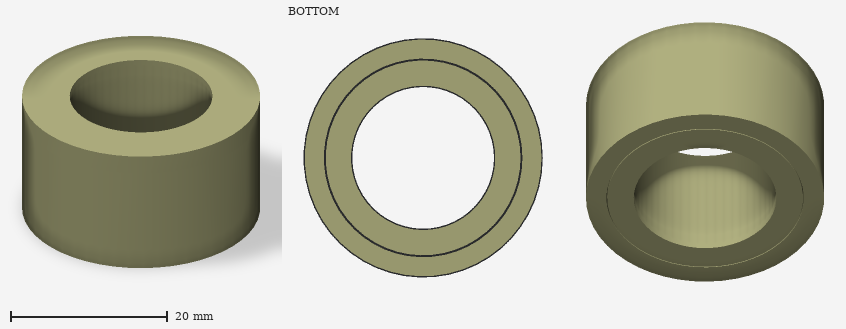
import cadquery as cq

outer_diameter = 30.4
bore_diameter = 18.2
total_height = 16.5
flange_thickness = 2.5
sleeve_diameter = 25.0
ring_bore_diameter = 25.2

ring_height = total_height - flange_thickness


def make_outer_ring():
    """Plain ring that surrounds the sleeve and carries the flange."""
    return (
        cq.Workplane("XY")
        .circle(outer_diameter / 2)
        .circle(ring_bore_diameter / 2)
        .extrude(ring_height)
    )


def make_flanged_bushing():
    """Sleeve with a flange on top, bored through its full height."""
    sleeve = cq.Workplane("XY").circle(sleeve_diameter / 2).extrude(total_height)
    flange = (
        cq.Workplane("XY")
        .workplane(offset=ring_height)
        .circle(outer_diameter / 2)
        .extrude(flange_thickness)
    )
    bore = cq.Workplane("XY").circle(bore_diameter / 2).extrude(total_height)
    return sleeve.union(flange).cut(bore)


outer_ring = make_outer_ring()
flanged_bushing = make_flanged_bushing()

result = cq.Compound.makeCompound([outer_ring.val(), flanged_bushing.val()])